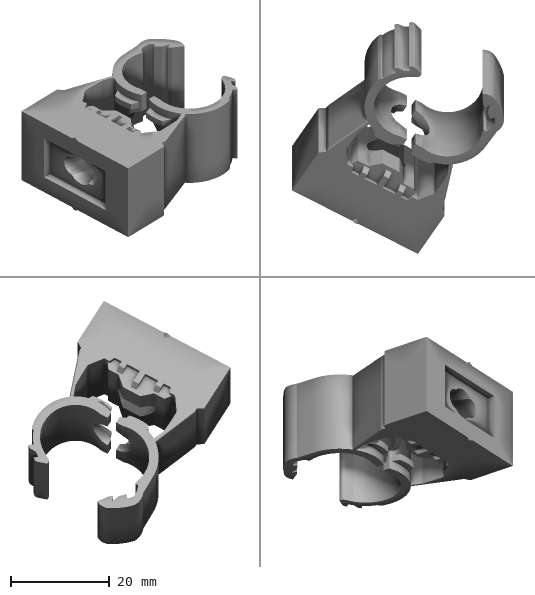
import cadquery as cq
import math

WIDTH = 29.7
HEIGHT = 16.98
HALF_WIDTH = WIDTH / 2
HALF_HEIGHT = HEIGHT / 2

SHOULDER_Y = 10.6
FRONT_Y = 11.05
FRONT_HALF_WIDTH = 8.25

ARM_FOOT_X = 13.55
ARM_FOOT_Y = 11.4
ARM_BEND_Y = 12.4
ARM_ROUND = 0.35
ARM_TOP = (9.83, 22.77)
ARM_INNER_SIDE = [(9.1, 22.05), (9.45, 21.45), (10.3, 19.25), (10.43, 16.75), (10.43, 14.1)]

RING_X = 4.47
RING_Y = 29.25
INNER_RADIUS = 7.2
OUTER_RADIUS = 9.1
CATCH_INNER_END_Y = 35.28
CATCH_OUTER_END_Y = 31.55
HOOK_INNER_END_Y = 31.55
HOOK_OUTER_END_Y = RING_Y
RING_GAP = 2.0
RING_END_Y = 22.3
HALF_GAP = RING_GAP / 2

RECESS_WIDTH = 17.0
RECESS_HEIGHT = 9.6
RECESS_DEPTH = 1.68
SLOT_LENGTH = 9.05
SLOT_HEIGHT = 4.27
SINK_DIAMETER = 6.4
SINK_DEPTH = 4.0
ACCESS_START_Y = 15.98

LEDGE_DROP = 1.0
LEDGE_BACK_Y = 9.9
LEDGE_BACK_X = 6.55
NOTCH_HALF_WIDTH = 7.05
LEDGE_STEPS = [(7.5, FRONT_Y), (6.6, 12.4), (4.15, 12.4), (2.05, 14.35)]
LEDGE_HALF_HEIGHT = HALF_HEIGHT - LEDGE_DROP
TOOTH_WIDTH = 1.28
SIDE_TOOTH_X = 4.27
SIDE_TOOTH_Y = 11.0
MIDDLE_TOOTH_Y = 12.5

MARK_HALF_WIDTH = 0.85
MARK_HEIGHT = 0.5
MARK_LENGTH = 1.0

PAD_RADIUS = 10.63
PAD_THICKNESS = 1.35
PAD_MIDDLE_Z = 6.0
PAD_OUTER_FLANK = [(7.5, 20.65), (6.55, 18.8)]
PAD_INNER_FLANK = [(2.08, 18.9), (1.5, 20.6)]

HOOK_TIP = [
    [(11.23, 32.15)],
    [(11.85, 32.2)],
    [(12.35, 33.45), (12.4, 34.9)],
    [(11.55, 35.9)],
    [(10.95, 35.1)],
    [(9.8, 36.25)],
    [(9.23, 37.9)],
    [(8.75, 36.87)],
    [(8.05, 37.3)],
    [(6.6, 39.47)],
    [(8.1, 39.95), (9.6, 39.55)],
    [(11.85, 38.05), (13.55, 36.4)],
    [(14.0, 34.75), (13.7, 33.25)],
]
CATCH_TIP = [
    [(6.75, 36.25)],
    [(6.45, 36.65), (6.47, 37.3)],
    [(8.4, 37.95)],
    [(8.95, 37.9)],
    [(9.45, 37.5)],
    [(8.75, 36.85)],
    [(9.75, 36.15)],
    [(11.25, 36.07)],
    [(11.83, 35.55)],
    [(11.0, 34.9)],
    [(11.9, 33.68), (12.6, 32.15)],
    [(12.95, 32.1)],
]


def prism(outline, half_height=HALF_HEIGHT):
    """Extrude a closed outline equally above and below Z = 0."""
    return outline.extrude(half_height, both=True)


def polygon_prism(points, half_height=HALF_HEIGHT):
    return prism(cq.Workplane("XY").polyline(points).close(), half_height)


def both_sides(points):
    """Close a right-hand outline with its mirror image across X = 0."""
    return points + [(-x, y) for x, y in reversed(points)]


def on_ring(radius, y, direction=1):
    """Point of the right-hand ring circle at height y, right (+1) or left (-1) of its centre."""
    return (RING_X + direction * math.sqrt(radius**2 - (y - RING_Y) ** 2), y)


def ring_half(tip, inner_end_y, outer_end_y):
    """Right-hand half of the ring with the given tip."""
    outer_foot_y = RING_Y - math.sqrt(OUTER_RADIUS**2 - (RING_X - HALF_GAP) ** 2)
    inner_middle, outer_middle = [
        (RING_X + radius * math.sqrt(0.5), RING_Y - radius * math.sqrt(0.5))
        for radius in (INNER_RADIUS, OUTER_RADIUS)
    ]
    lip_start = on_ring(INNER_RADIUS, RING_END_Y, -1)
    outline = (
        cq.Workplane("XY")
        .moveTo(HALF_GAP, RING_END_Y)
        .lineTo(*lip_start)
        .threePointArc(inner_middle, on_ring(INNER_RADIUS, inner_end_y))
    )
    for step in tip:
        outline = outline.lineTo(*step[0]) if len(step) == 1 else outline.threePointArc(*step)
    outline = (
        outline.lineTo(*on_ring(OUTER_RADIUS, outer_end_y))
        .threePointArc(outer_middle, (HALF_GAP, outer_foot_y))
        .close()
    )
    return prism(outline)


def arm():
    """Right-hand arm; its top end lies inside the ring wall."""
    outline = [
        (FRONT_HALF_WIDTH, FRONT_Y), (FRONT_HALF_WIDTH, SHOULDER_Y), (ARM_FOOT_X, SHOULDER_Y),
        (ARM_FOOT_X, ARM_BEND_Y), ARM_TOP,
    ]
    solid = polygon_prism(outline + ARM_INNER_SIDE)
    slope_middle = ((ARM_FOOT_X + ARM_TOP[0]) / 2, (ARM_BEND_Y + ARM_TOP[1]) / 2, 0)
    sloped_face = solid.faces(cq.selectors.NearestToPointSelector(slope_middle))
    return sloped_face.edges("#Z").fillet(ARM_ROUND)


def ledge():
    """Stepped ledge reaching forward from the block."""
    outline = [(LEDGE_BACK_X, LEDGE_BACK_Y)] + LEDGE_STEPS
    return polygon_prism(both_sides(outline), LEDGE_HALF_HEIGHT)


def tooth(x, end_y):
    """Full-height rib on the ledge, sloped at 45 degrees down to it at both ends."""
    profile = [
        (LEDGE_BACK_Y, HALF_HEIGHT),
        (end_y, HALF_HEIGHT),
        (end_y + LEDGE_DROP, LEDGE_HALF_HEIGHT),
        (end_y + LEDGE_DROP, -LEDGE_HALF_HEIGHT),
        (end_y, -HALF_HEIGHT),
        (LEDGE_BACK_Y, -HALF_HEIGHT),
    ]
    rib = cq.Workplane("YZ").polyline(profile).close().extrude(TOOTH_WIDTH / 2, both=True)
    return rib.translate((x, 0, 0))


def block():
    """Block with its shoulders, ledge and teeth."""
    outline = [
        (HALF_WIDTH, 0), (HALF_WIDTH, SHOULDER_Y), (ARM_FOOT_X, ARM_FOOT_Y),
        (FRONT_HALF_WIDTH, FRONT_Y), (NOTCH_HALF_WIDTH, FRONT_Y), (LEDGE_BACK_X, LEDGE_BACK_Y),
    ]
    solid = polygon_prism(both_sides(outline)).union(ledge())
    for x, end_y in ((-SIDE_TOOTH_X, SIDE_TOOTH_Y), (0, MIDDLE_TOOTH_Y), (SIDE_TOOTH_X, SIDE_TOOTH_Y)):
        solid = solid.union(tooth(x, end_y))
    return solid


def centre_mark():
    """Small pointed mark on the top edge of the mounting face."""
    base = [(-MARK_HALF_WIDTH, 0), (MARK_HALF_WIDTH, 0), (0, MARK_LENGTH)]
    corners = [cq.Vector(x, y, HALF_HEIGHT) for x, y in base]
    peak = cq.Vector(0, 0, HALF_HEIGHT + MARK_HEIGHT)
    triangles = [corners] + [[corners[i], corners[(i + 1) % 3], peak] for i in range(3)]
    faces = [cq.Face.makeFromWires(cq.Wire.makePolygon(t, close=True)) for t in triangles]
    return cq.Workplane(cq.Solid.makeSolid(cq.Shell.makeShell(faces)))


def countersink():
    """Cone from the floor of the recess down to the height of the slot."""
    return cq.Workplane(cq.Solid.makeCone(
        SINK_DIAMETER / 2, SLOT_HEIGHT / 2, SINK_DEPTH,
        pnt=cq.Vector(0, RECESS_DEPTH, 0), dir=cq.Vector(0, 1, 0),
    ))


def mounting_hole():
    """Recess, countersink and slot through the block, and the screwdriver hole in the ring."""
    recess = cq.Workplane("XY").box(
        RECESS_WIDTH, RECESS_DEPTH, RECESS_HEIGHT, centered=(True, False, True)
    )
    slot = cq.Workplane("XZ").slot2D(SLOT_LENGTH, SLOT_HEIGHT).extrude(-RING_Y)
    access = cq.Workplane("XZ", origin=(0, RING_Y, 0)).circle(SLOT_LENGTH / 2)
    access = access.extrude(RING_Y - ACCESS_START_Y)
    return recess.union(slot).union(countersink()).union(access)


def make_clip():
    """Block, two arms and the open ring in one piece."""
    hook = ring_half(HOOK_TIP, HOOK_INNER_END_Y, HOOK_OUTER_END_Y).mirror("YZ")
    catch = ring_half(CATCH_TIP, CATCH_INNER_END_Y, CATCH_OUTER_END_Y)
    mark = centre_mark()
    clip = block()
    for piece in (arm(), arm().mirror("YZ"), hook, catch):
        clip = clip.union(piece)
    clip = clip.union(mark).union(mark.mirror("XY"))
    return clip.cut(mounting_hole())


def make_pad(side, level):
    """Pad resting on the outside of the ring; side and level are +1 or -1."""
    outline = (
        cq.Workplane("XY")
        .polyline(PAD_OUTER_FLANK)
        .threePointArc((RING_X, RING_Y - PAD_RADIUS), PAD_INNER_FLANK[0])
        .lineTo(*PAD_INNER_FLANK[1])
        .close()
    )
    ring_space = prism(cq.Workplane("XY").center(RING_X, RING_Y).circle(OUTER_RADIUS))
    pad = prism(outline, PAD_THICKNESS / 2).cut(ring_space)
    if side < 0:
        pad = pad.mirror("YZ")
    return pad.translate((0, 0, level * PAD_MIDDLE_Z))


clip = make_clip()
pads = [make_pad(side, level) for side in (-1, 1) for level in (-1, 1)]

result = cq.Compound.makeCompound([clip.val(), *[pad.val() for pad in pads]])